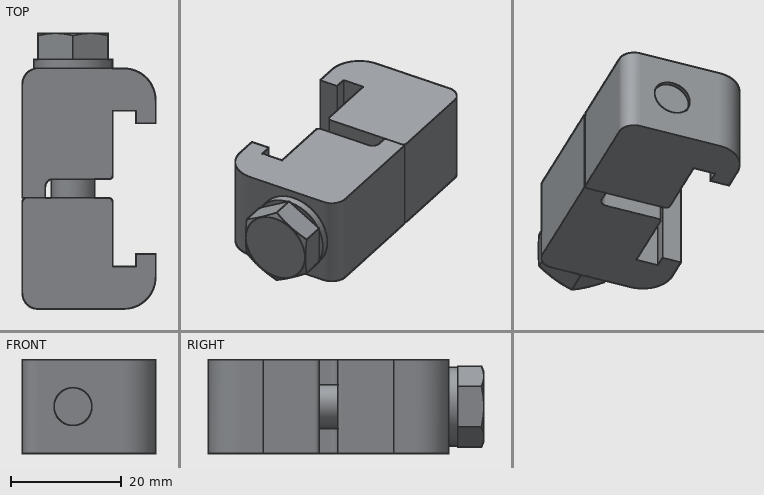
import cadquery as cq
import math

width = 24.13
length = 49.86
height = 16.97

head_across_flats = 12.7
head_height = 4.76
head_crown_diameter = 12.5
head_chamfer_height = 0.45
shank_diameter = 7.94
threaded_end_diameter = 6.83
bolt_end_recess = 0.7

washer_diameter = 14.29
washer_thickness = 1.59

axis_from_back = 9.17
block_width = 16.36
lip_width = 3.6
arm_thickness = 7.7
lip_end_depth = 9.97
back_corner_radius = 2.87
front_corner_radius = 5.8

fixed_jaw_length = 20.1
fixed_jaw_edge_radius = 0.75
heel_width = 4.2
heel_height = 3.37
heel_fillet_radius = 1.35
sliding_jaw_edge_radius = 0.6

sliding_jaw_length = length - head_height - washer_thickness - fixed_jaw_length
back_x = -axis_from_back
block_x = back_x + block_width
front_x = back_x + width
lip_x = front_x - lip_width
fixed_end_y = -fixed_jaw_length
washer_y = sliding_jaw_length
head_y = washer_y + washer_thickness


def rod(diameter, start_y, end_y):
    """Cylinder on the bolt axis between two Y positions."""
    return (
        cq.Workplane("XZ", origin=(0, start_y, 0))
        .circle(diameter / 2)
        .extrude(start_y - end_y)
    )


def jaw_blank(end_y, clamp_y):
    """Hooked jaw with rounded end corners; the hook opens toward the clamped face."""
    inward = math.copysign(1, clamp_y - end_y)
    blank = (
        cq.Workplane("XY", origin=(0, 0, -height / 2))
        .moveTo(back_x, end_y)
        .lineTo(front_x, end_y)
        .lineTo(front_x, end_y + inward * lip_end_depth)
        .lineTo(lip_x, end_y + inward * lip_end_depth)
        .lineTo(lip_x, end_y + inward * arm_thickness)
        .lineTo(block_x, end_y + inward * arm_thickness)
        .lineTo(block_x, clamp_y)
        .lineTo(back_x, clamp_y)
        .close()
        .extrude(height)
    )
    blank = round_edge(blank, back_x, end_y, back_corner_radius)
    return round_edge(blank, front_x, end_y, front_corner_radius)


def round_edge(body, x, y, radius):
    """Fillet the vertical edge that passes through (x, y)."""
    edge = cq.selectors.NearestToPointSelector((x, y, 0))
    return body.edges("|Z").edges(edge).fillet(radius)


def make_fixed_jaw():
    """Jaw that holds the threaded end of the bolt."""
    jaw = jaw_blank(fixed_end_y, 0)
    for x in (back_x, block_x):
        jaw = round_edge(jaw, x, 0, fixed_jaw_edge_radius)
    return jaw.cut(rod(threaded_end_diameter, fixed_end_y, 0))


def make_sliding_jaw():
    """Jaw under the bolt head, standing on its heel clear of the fixed jaw."""
    jaw = jaw_blank(sliding_jaw_length, 0)
    heel_x = back_x + heel_width
    relief = (
        cq.Workplane("XY", origin=(0, 0, -height / 2))
        .moveTo(heel_x, 0)
        .lineTo(block_x, 0)
        .lineTo(block_x, heel_height)
        .lineTo(heel_x, heel_height)
        .close()
        .extrude(height)
    )
    jaw = jaw.cut(relief)
    jaw = round_edge(jaw, heel_x, heel_height, heel_fillet_radius)
    jaw = round_edge(jaw, block_x, heel_height, sliding_jaw_edge_radius)
    return jaw.cut(rod(shank_diameter, 0, sliding_jaw_length))


def make_washer():
    """Plain washer between the bolt head and the sliding jaw."""
    disc = rod(washer_diameter, washer_y, head_y)
    return disc.cut(rod(shank_diameter, washer_y, head_y))


def make_head():
    """Hexagon head with flats facing +X and -X and its outer corners chamfered."""
    corner_radius = head_across_flats / math.sqrt(3)
    top_y = head_y + head_height
    hexagon = (
        cq.Workplane("XZ", origin=(0, head_y, 0))
        .transformed(rotate=(0, 0, 90))
        .polygon(6, 2 * corner_radius)
        .extrude(-head_height)
    )
    chamfered_envelope = (
        cq.Workplane("XY")
        .moveTo(0, head_y)
        .lineTo(corner_radius, head_y)
        .lineTo(corner_radius, top_y - head_chamfer_height)
        .lineTo(head_crown_diameter / 2, top_y)
        .lineTo(0, top_y)
        .close()
        .revolve(360, (0, 0, 0), (0, 1, 0))
    )
    return hexagon.intersect(chamfered_envelope)


def make_bolt():
    """Head, plain shank down to the fixed jaw, and threaded end inside that jaw."""
    shank = rod(shank_diameter, 0, head_y)
    threaded_end = rod(threaded_end_diameter, fixed_end_y + bolt_end_recess, 0)
    return make_head().union(shank).union(threaded_end)


fixed_jaw = make_fixed_jaw()
sliding_jaw = make_sliding_jaw()
washer = make_washer()
bolt = make_bolt()

result = cq.Compound.makeCompound([fixed_jaw.val(), sliding_jaw.val(), washer.val(), bolt.val()])